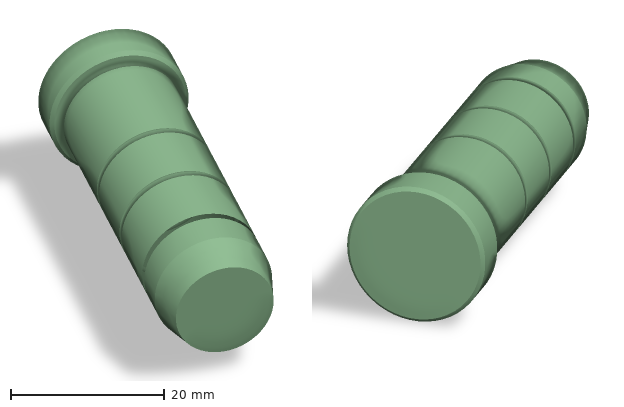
import cadquery as cq
import math

total_length = 52.0
head_diameter = 19.0
head_length = 6.0
head_chamfer = 0.5
shank_diameter = 16.0
groove_radius = 0.5
first_groove_center = 22.0
groove_pitch = 10.0
groove_count = 3
tip_length = 5.0
tip_half_angle = 15.0

shank_radius = shank_diameter / 2
tip_drop = tip_length * math.tan(math.radians(tip_half_angle))


def cylinder_along_x(start, length, diameter):
    """Solid cylinder on the X axis, beginning at x = start."""
    return cq.Workplane("YZ", origin=(start, 0, 0)).circle(diameter / 2).extrude(length)


def round_groove(center):
    """Ring of circular section that cuts a half-round groove in the shank."""
    return (
        cq.Workplane("XY")
        .center(center, shank_radius)
        .circle(groove_radius)
        .revolve(360, (0, -shank_radius, 0), (1, -shank_radius, 0))
    )


head = cylinder_along_x(0, head_length, head_diameter).edges().chamfer(head_chamfer)

shank_outline = [
    (0, 0),
    (0, shank_radius),
    (total_length - tip_length, shank_radius),
    (total_length, shank_radius - tip_drop),
    (total_length, 0),
]
shank = cq.Workplane("XY").polyline(shank_outline).close().revolve(360, (0, 0, 0), (1, 0, 0))

groove_centers = [head_length + groove_radius]
for index in range(groove_count):
    groove_centers.append(first_groove_center + index * groove_pitch)

for groove_center in groove_centers:
    shank = shank.cut(round_groove(groove_center))

result = head.union(shank)